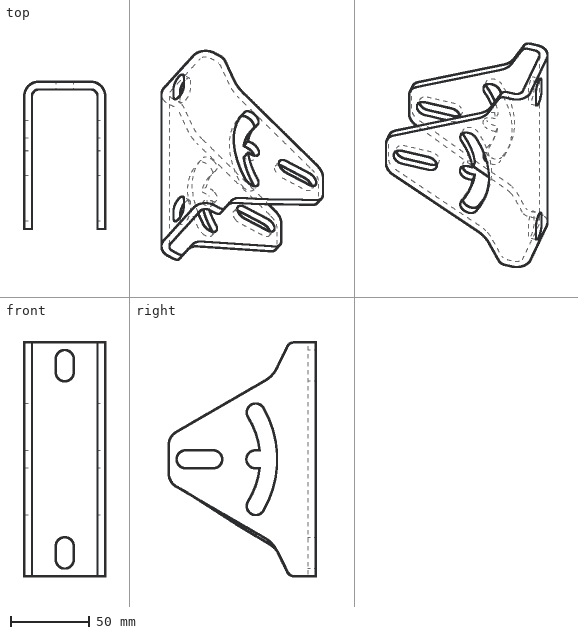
import cadquery as cq
import math

width = 52.0
depth = 94.5
height = 150.0
sheet = 5.1
bend_radius = 9.5

half_height = height / 2
inner_width = width - 2 * sheet

ear_depth = 17.1
throat_depth = 27.6
throat_height = 53.4
nose_height = 14.7
ear_radius = 5.0
throat_radius = 18.0
nose_radius = 10.0

left_ear_depth = 16.8
left_throat_depth = 25.2
left_throat_height = 57.2
left_kink_depth = 48.5
left_kink_height = 43.4
left_nose_height = 13.6

slot_width = 11.4
web_slot_length = 20.0
web_slot_offset = 60.0
side_slot_start = 60.2
side_slot_end = 89.2
arc_radius = 60.0
arc_half_angle = math.radians(30)
inner_edge_bulge = 0.6
arc_middle_depth = 30.6
notch_end = 44.5

slot_radius = slot_width / 2
arc_pivot = arc_middle_depth + arc_radius


def channel():
    """Bent sheet before its side plates are trimmed."""
    outer = cq.Workplane("XY").box(width, depth, height).translate((0, -depth / 2, 0))
    outer = outer.edges("|Z and >Y").fillet(bend_radius)
    cavity = cq.Workplane("XY").box(inner_width, depth, height).translate((0, -depth / 2 - sheet, 0))
    cavity = cavity.edges("|Z and >Y").fillet(bend_radius - sheet)
    return outer.cut(cavity)


def rounded_outline(corners, x_start):
    """Extrude a side outline over half the width, rounding each (depth, Z, radius) corner."""
    points = [(-distance, z) for distance, z, radius in corners]
    plate = cq.Workplane("YZ", origin=(x_start, 0, 0)).polyline(points).close().extrude(width / 2)
    for distance, z, radius in corners:
        if radius > 0:
            nearest = cq.selectors.NearestToPointSelector((x_start + width / 4, -distance, z))
            plate = plate.edges("|X").edges(nearest).fillet(radius)
    return plate


def side_envelope():
    """Outline of both plates, one solid for each half of the width."""
    upper = [
        (0, half_height, 0),
        (ear_depth, half_height, ear_radius),
        (throat_depth, throat_height, throat_radius),
        (depth, nose_height, nose_radius),
    ]
    mirrored_lower = [(distance, -z, radius) for distance, z, radius in reversed(upper)]
    left_lower = [
        (depth, -left_nose_height, nose_radius),
        (left_kink_depth, -left_kink_height, 0),
        (left_throat_depth, -left_throat_height, throat_radius),
        (left_ear_depth, -half_height, ear_radius),
        (0, -half_height, 0),
    ]
    left = rounded_outline(upper + left_lower, -width / 2)
    right = rounded_outline(upper + mirrored_lower, 0)
    return left.union(right)


def straight_side_slot(start, end):
    """Slot along Y through both plates, between two distances from the back."""
    return (
        cq.Workplane("YZ")
        .center(-(start + end) / 2, 0)
        .slot2D(end - start, slot_width)
        .extrude(width, both=True)
    )


def arc_slot():
    """Curved slot about a pivot near the nose, through both plates."""

    def point(radius, angle):
        return (-arc_pivot + radius * math.cos(angle), radius * math.sin(angle))

    outer = arc_radius + slot_radius
    inner = arc_radius - slot_radius

    def cap_tip(side):
        x, z = point(arc_radius, side * arc_half_angle)
        tangent_angle = side * (arc_half_angle + math.pi / 2)
        return (x + slot_radius * math.cos(tangent_angle), z + slot_radius * math.sin(tangent_angle))

    return (
        cq.Workplane("YZ")
        .moveTo(*point(outer, -arc_half_angle))
        .threePointArc(point(outer, 0), point(outer, arc_half_angle))
        .threePointArc(cap_tip(1), point(inner, arc_half_angle))
        .threePointArc(point(inner + inner_edge_bulge, 0), point(inner, -arc_half_angle))
        .threePointArc(cap_tip(-1), point(outer, -arc_half_angle))
        .close()
        .extrude(width, both=True)
    )


def web_slots():
    """Two upright slots through the web."""
    return (
        cq.Workplane("XZ")
        .pushPoints([(0, web_slot_offset), (0, -web_slot_offset)])
        .slot2D(web_slot_length, slot_width, 90)
        .extrude(2 * sheet, both=True)
    )


bracket = channel().intersect(side_envelope())
bracket = bracket.cut(arc_slot())
bracket = bracket.cut(straight_side_slot(arc_middle_depth, notch_end))
bracket = bracket.cut(straight_side_slot(side_slot_start, side_slot_end))
bracket = bracket.cut(web_slots())

result = bracket.translate((0, depth / 2, 0))